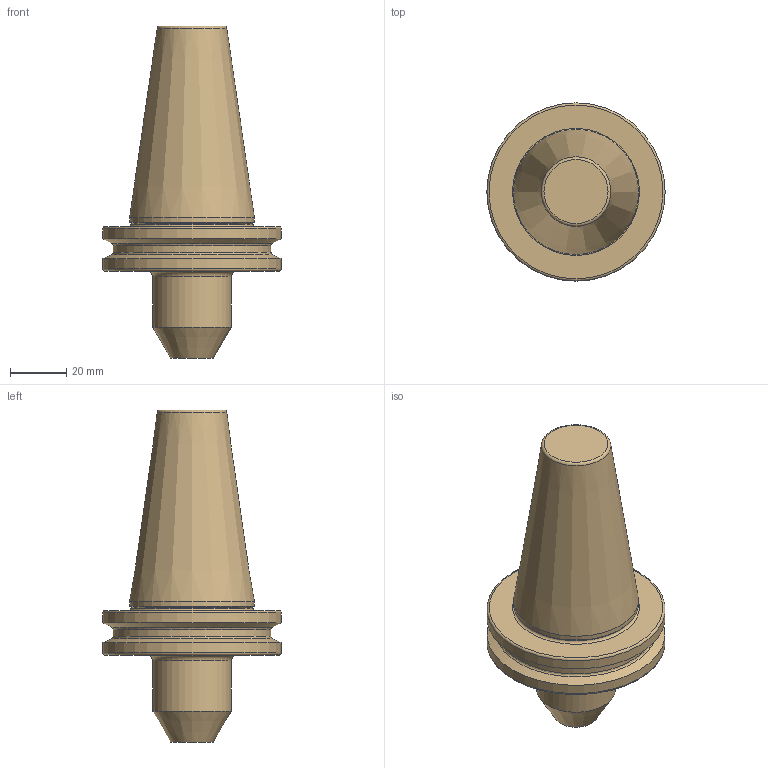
import cadquery as cq
import math


GAUGE_RADIUS = 44.45 / 2
TAPER_LENGTH = 68.25
TAPER_SLOPE = 7 / 48
TOP_FILLET = 1.0

FLANGE_TOP = -3.2
COLLAR_BOTTOM = -1.7
NECK_DEPTH = 0.5
NECK_FILLET = 0.9

FLANGE_RADIUS = 63.5 / 2
FLANGE_BOTTOM = -19.1
RIM_FILLET = 0.8
GROOVE_CENTRE = -11.1
GROOVE_MOUTH = 7.1
GROOVE_FLOOR_RADIUS = 56.25 / 2
GROOVE_WALL_ANGLE = 26
GROOVE_FILLET = 1.0

PIN_RADIUS = 14.0
PIN_BOTTOM = -50.0
PIN_FILLET = 2.0
TIP_HEIGHT = 11.0
TIP_HALF_ANGLE = 30


def revolve_profile(points):
    """Turn a closed (radius, height) outline about the Z axis."""
    return cq.Workplane("XZ").polyline(points).close().revolve(360, (0, 0), (0, 1))


def fillet_circle(body, radius, height, fillet_radius):
    """Round the circular edges that have the given radius and height."""
    tol = 0.01
    box = cq.selectors.BoxSelector(
        (-radius - tol, -radius - tol, height - tol),
        (radius + tol, radius + tol, height + tol),
        boundingbox=True,
    )
    return body.edges(box).edges("%CIRCLE").fillet(fillet_radius)


def make_shank():
    """Taper, collar and undercut neck, reaching down to the flange."""
    top_radius = GAUGE_RADIUS - TAPER_LENGTH * TAPER_SLOPE
    neck_radius = GAUGE_RADIUS - NECK_DEPTH
    shank = revolve_profile([
        (0, FLANGE_TOP),
        (neck_radius, FLANGE_TOP),
        (neck_radius, COLLAR_BOTTOM - NECK_DEPTH),
        (GAUGE_RADIUS, COLLAR_BOTTOM),
        (GAUGE_RADIUS, 0),
        (top_radius, TAPER_LENGTH),
        (0, TAPER_LENGTH),
    ])
    return fillet_circle(shank, top_radius, TAPER_LENGTH, TOP_FILLET)


def make_flange():
    """Disc with rounded rims."""
    height = FLANGE_TOP - FLANGE_BOTTOM
    disc = cq.Workplane("XY", origin=(0, 0, FLANGE_BOTTOM)).circle(FLANGE_RADIUS).extrude(height)
    return disc.edges("%CIRCLE").fillet(RIM_FILLET)


def make_groove():
    """Ring that cuts the V-shaped groove with its flat, round-cornered floor."""
    wall_rise = (FLANGE_RADIUS - GROOVE_FLOOR_RADIUS) * math.tan(math.radians(GROOVE_WALL_ANGLE))
    half_mouth = GROOVE_MOUTH / 2
    half_floor = half_mouth - wall_rise
    ring = revolve_profile([
        (FLANGE_RADIUS, GROOVE_CENTRE - half_mouth),
        (FLANGE_RADIUS, GROOVE_CENTRE + half_mouth),
        (GROOVE_FLOOR_RADIUS, GROOVE_CENTRE + half_floor),
        (GROOVE_FLOOR_RADIUS, GROOVE_CENTRE - half_floor),
    ])
    for side in (-1, 1):
        ring = fillet_circle(ring, GROOVE_FLOOR_RADIUS, GROOVE_CENTRE + side * half_floor, GROOVE_FILLET)
    return ring


def make_pin():
    """Cylinder with a conical tip."""
    tip_radius = PIN_RADIUS - TIP_HEIGHT * math.tan(math.radians(TIP_HALF_ANGLE))
    return revolve_profile([
        (0, FLANGE_BOTTOM),
        (PIN_RADIUS, FLANGE_BOTTOM),
        (PIN_RADIUS, PIN_BOTTOM + TIP_HEIGHT),
        (tip_radius, PIN_BOTTOM),
        (0, PIN_BOTTOM),
    ])


body = make_flange().cut(make_groove()).union(make_shank()).union(make_pin())
body = fillet_circle(body, GAUGE_RADIUS - NECK_DEPTH, FLANGE_TOP, NECK_FILLET)
result = fillet_circle(body, PIN_RADIUS, FLANGE_BOTTOM, PIN_FILLET)